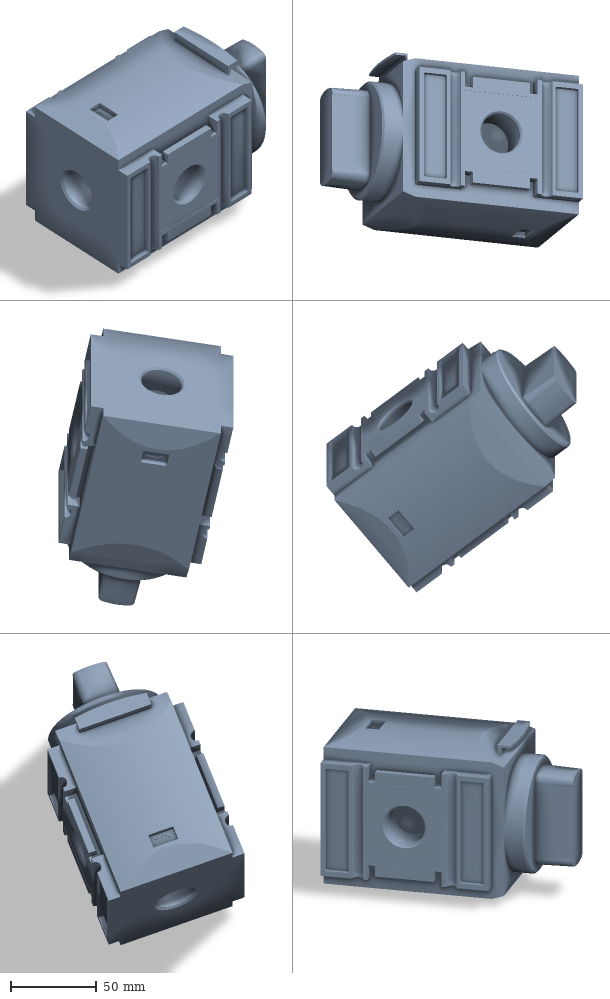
import cadquery as cq

body_side = 85.0
body_length = 101.9
column_width = 70.0
crown_height = 46.6
end_slope_length = 15.3
half_side = body_side / 2
half_column = column_width / 2
mid_length = body_length / 2

collar_length = 7.5
collar_end_height = 79.9
flange_end = 122.0
flange_chamfer = 1.2

knob_end = 144.7
knob_root_size = (11.6, 29.5)
knob_tip_size = (10.5, 28.8)
knob_corner_x = 6.8
knob_corner_drop = 0.9
knob_flat_z = 22.7
knob_corner_bulge = 1.6

plate_width = 45.0
total_height = 95.5
plate_top = total_height - crown_height
plate_thickness = 1.5
plate_gap = 0.1
plate_front = body_length + plate_gap
plate_reach_mid = 111.5
plate_reach_side = 109.7
plate_foot = 37.6

port_diameter = 24.2
port_mouth_diameter = 26.8
front_port_depth = 16.4
side_port_depth = 21.7

groove_offset = 28.5
groove_radius = 3.3
groove_inset = 0.3
notch_length = 45.0
notch_floor = 25.9
tab_length = 35.5
tab_height = 32.4
tab_top_thickness = 4.2
tab_root_thickness = 5.5
pocket_offset = 41.0
pocket_length = 14.5
pocket_height = 63.7
pocket_depth = 3.2
pocket_corner = 1.0
pad_side = 47.5
pad_recess = 0.22
pad_step_length = 6.2
pad_step_height = 2.2

window_width = 15.5
window_length = 8.4
window_center_y = 22.1
window_floor = 42.8
arrow_depth = 0.5
arrow_length = 10.3
arrow_neck_x = 0.3
arrow_half_shaft = 1.6
arrow_half_head = 2.7


def block(x_range, y_range, z_range):
    """Box spanning the three given ranges."""
    size = [high - low for low, high in (x_range, y_range, z_range)]
    corner = (x_range[0], y_range[0], z_range[0])
    return cq.Workplane("XY").box(*size, centered=False).translate(corner)


def both_sides(shape, plane):
    """The shape together with its mirror image."""
    return shape.union(shape.mirror(plane))


def make_body():
    section = (
        cq.Workplane("XZ")
        .moveTo(-half_column, half_side)
        .threePointArc((0, crown_height), (half_column, half_side))
        .lineTo(half_column, half_column)
        .lineTo(half_side, half_column)
        .lineTo(half_side, -half_column)
        .lineTo(half_column, -half_column)
        .lineTo(half_column, -half_side)
        .threePointArc((0, -crown_height), (-half_column, -half_side))
        .lineTo(-half_column, -half_column)
        .lineTo(-half_side, -half_column)
        .lineTo(-half_side, half_column)
        .lineTo(-half_column, half_column)
        .close()
        .extrude(-body_length)
    )
    slope_end = body_length - end_slope_length
    side_outline = (
        cq.Workplane("YZ")
        .polyline([
            (0, -half_side), (end_slope_length, -crown_height),
            (slope_end, -crown_height), (body_length, -half_side),
            (body_length, half_side), (slope_end, crown_height),
            (end_slope_length, crown_height), (0, half_side),
        ])
        .close()
        .extrude(half_side, both=True)
    )
    return section.intersect(side_outline)


def make_collar_and_flange():
    collar_end = body_length + collar_length
    collar = (
        cq.Workplane("YZ")
        .polyline([
            (body_length, -half_side), (collar_end, -collar_end_height / 2),
            (collar_end, collar_end_height / 2), (body_length, half_side),
        ])
        .close()
        .extrude(half_column, both=True)
    )
    flange = (
        cq.Workplane("XZ", origin=(0, collar_end, 0))
        .circle(half_column)
        .extrude(collar_end - flange_end)
        .faces(">Y")
        .chamfer(flange_chamfer)
    )
    return collar.union(flange)


def knob_section(knob, half_size):
    """Flat sides, crowned ends and rounded corners of the knob."""
    half_width, half_height = half_size
    corner_z = half_height - knob_corner_drop
    diagonal = ((half_width - knob_corner_x) ** 2 + (corner_z - knob_flat_z) ** 2) ** 0.5
    bulge_x = knob_corner_bulge * (corner_z - knob_flat_z) / diagonal
    bulge_z = knob_corner_bulge * (half_width - knob_corner_x) / diagonal
    corner_mid_x = (half_width + knob_corner_x) / 2 + bulge_x
    corner_mid_z = (corner_z + knob_flat_z) / 2 + bulge_z
    return (
        knob.moveTo(half_width, -knob_flat_z)
        .lineTo(half_width, knob_flat_z)
        .threePointArc((corner_mid_x, corner_mid_z), (knob_corner_x, corner_z))
        .threePointArc((0, half_height), (-knob_corner_x, corner_z))
        .threePointArc((-corner_mid_x, corner_mid_z), (-half_width, knob_flat_z))
        .lineTo(-half_width, -knob_flat_z)
        .threePointArc((-corner_mid_x, -corner_mid_z), (-knob_corner_x, -corner_z))
        .threePointArc((0, -half_height), (knob_corner_x, -corner_z))
        .threePointArc((corner_mid_x, -corner_mid_z), (half_width, -knob_flat_z))
        .close()
    )


def make_knob():
    root = knob_section(cq.Workplane("XZ", origin=(0, flange_end, 0)), knob_root_size)
    tip_plane = root.workplane(offset=flange_end - knob_end)
    return knob_section(tip_plane, knob_tip_size).loft(ruled=True)


def make_lock_plate():
    half_width = plate_width / 2
    upright = block(
        (-half_width, half_width),
        (plate_front, plate_front + plate_thickness),
        (plate_foot, plate_top),
    )
    shelf = (
        cq.Workplane("XY", origin=(0, 0, plate_top))
        .moveTo(-half_width, plate_front)
        .lineTo(-half_width, plate_reach_side)
        .threePointArc((0, plate_reach_mid), (half_width, plate_reach_side))
        .lineTo(half_width, plate_front)
        .close()
        .extrude(-plate_thickness)
    )
    return upright.union(shelf)


def port_cutter(plane, depth):
    """Blind bore with a 45 degree mouth, entering along the reverse of the plane's normal."""
    mouth_depth = (port_mouth_diameter - port_diameter) / 2
    bore = cq.Workplane(plane).circle(port_diameter / 2).extrude(-depth)
    mouth = (
        cq.Workplane(plane)
        .circle(port_mouth_diameter / 2)
        .workplane(offset=-mouth_depth)
        .circle(port_diameter / 2)
        .loft()
    )
    return bore.union(mouth)


def groove_cutter(y):
    return (
        cq.Workplane("XY", origin=(-half_side + groove_inset, y, 0))
        .circle(groove_radius)
        .extrude(half_column, both=True)
    )


def notch_cutter():
    """Recess in the upper edge of a wing that leaves a tab with a sloped back."""
    notch = block(
        (-half_side, -half_column),
        (mid_length - notch_length / 2, mid_length + notch_length / 2),
        (notch_floor, half_column),
    )
    tab = (
        cq.Workplane("XZ", origin=(0, mid_length + tab_length / 2, 0))
        .polyline([
            (-half_side, notch_floor),
            (-half_side + tab_root_thickness, notch_floor),
            (-half_side + tab_top_thickness, tab_height),
            (-half_side, tab_height),
        ])
        .close()
        .extrude(tab_length)
    )
    return notch.cut(tab)


def pocket_cutter(y):
    return (
        cq.Workplane("YZ", origin=(-half_side, y, 0))
        .rect(pocket_length, pocket_height)
        .extrude(pocket_depth)
        .edges("|X")
        .fillet(pocket_corner)
    )


def pad_cutter():
    """Shallow square recess around a side port, stepped at its lower front corner."""
    half_pad = pad_side / 2
    depth_range = (-half_side, -half_side + pad_recess)
    front = mid_length - half_pad
    square = block(depth_range, (front, front + pad_side), (-half_pad, half_pad))
    step = block(depth_range, (front, front + pad_step_length), (-half_pad, -half_pad + pad_step_height))
    return square.cut(step)


def wing_cutter():
    """Everything removed from the -X wing."""
    port_plane = cq.Plane(origin=(-half_side, mid_length, 0), xDir=(0, 1, 0), normal=(-1, 0, 0))
    cutter = port_cutter(port_plane, side_port_depth)
    cutter = cutter.union(both_sides(notch_cutter(), "XY")).union(pad_cutter())
    for direction in (-1, 1):
        cutter = cutter.union(groove_cutter(mid_length + direction * groove_offset))
        cutter = cutter.union(pocket_cutter(mid_length + direction * pocket_offset))
    return cutter


def window_cutter():
    """Rectangular window in the top crown with an arrow sunk into its floor."""
    window = (
        cq.Workplane("XY", origin=(0, window_center_y, window_floor))
        .rect(window_width, window_length)
        .extrude(crown_height - window_floor)
    )
    half_arrow = arrow_length / 2
    arrow = (
        cq.Workplane("XY", origin=(0, window_center_y, window_floor))
        .polyline([
            (-half_arrow, -arrow_half_shaft), (arrow_neck_x, -arrow_half_shaft),
            (arrow_neck_x, -arrow_half_head), (half_arrow, 0),
            (arrow_neck_x, arrow_half_head), (arrow_neck_x, arrow_half_shaft),
            (-half_arrow, arrow_half_shaft),
        ])
        .close()
        .extrude(-arrow_depth)
    )
    return window.union(arrow)


front_port_plane = cq.Plane(origin=(0, 0, 0), xDir=(1, 0, 0), normal=(0, -1, 0))

result = (
    make_body()
    .cut(both_sides(wing_cutter(), "YZ"))
    .cut(both_sides(window_cutter(), "XY"))
    .cut(port_cutter(front_port_plane, front_port_depth))
    .union(make_collar_and_flange())
    .union(make_knob())
    .union(make_lock_plate())
)